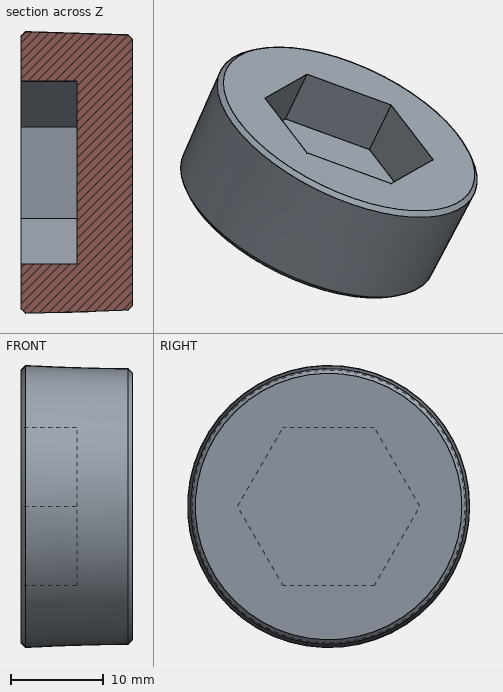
import cadquery as cq
import math

length = 12.0
large_diameter = 30.35
taper = 1.0 / 16.0
chamfer = 0.5
hex_across_flats = 17.0
hex_depth = 6.0

large_radius = large_diameter / 2
taper_length = length - 2 * chamfer
small_radius = large_radius - taper * taper_length / 2
hex_across_corners = hex_across_flats / math.cos(math.radians(30))


def tapered_body():
    """Revolve the half section about X: a cone chamfered at both ends."""
    return (
        cq.Workplane("XY")
        .moveTo(0, 0)
        .lineTo(0, large_radius - chamfer)
        .lineTo(chamfer, large_radius)
        .lineTo(length - chamfer, small_radius)
        .lineTo(length, small_radius - chamfer)
        .lineTo(length, 0)
        .close()
        .revolve(360, (0, 0, 0), (1, 0, 0))
    )


def hex_socket():
    """Hexagonal prism from the large end, with two corners on the Y axis."""
    return cq.Workplane("YZ").polygon(6, hex_across_corners).extrude(hex_depth)


result = tapered_body().cut(hex_socket())